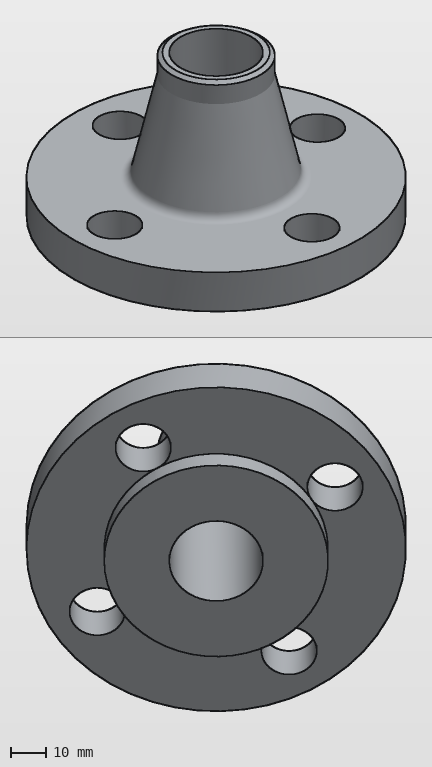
import cadquery as cq

flange_diameter = 107.9
flange_thickness = 13.0

face_diameter = 63.7
face_height = 6.4

overall_height = 60.2
hub_base_diameter = 49.3
hub_root_fillet = 3.0
neck_diameter = 33.5
neck_length = 7.2
bore_diameter = 26.7

bevel_land = 1.9
bevel_height = 1.0

bolt_hole_count = 4
bolt_hole_diameter = 15.8
bolt_circle_diameter = 79.3

flange_bottom = face_height
flange_top = flange_bottom + flange_thickness
neck_bottom = overall_height - neck_length
bevel_bottom = overall_height - bevel_height
flange_radius = flange_diameter / 2
face_radius = face_diameter / 2
hub_base_radius = hub_base_diameter / 2
neck_radius = neck_diameter / 2
bore_radius = bore_diameter / 2
land_radius = bore_radius + bevel_land


def flange_body():
    """Solid of revolution: raised face, plate, hub and neck, filleted at the hub root."""
    half_section = (
        cq.Workplane("XZ")
        .moveTo(0, 0)
        .lineTo(face_radius, 0)
        .lineTo(face_radius, flange_bottom)
        .lineTo(flange_radius, flange_bottom)
        .lineTo(flange_radius, flange_top)
        .lineTo(hub_base_radius, flange_top)
        .lineTo(neck_radius, neck_bottom)
        .lineTo(neck_radius, bevel_bottom)
        .lineTo(land_radius, overall_height)
        .lineTo(0, overall_height)
        .close()
    )
    body = half_section.revolve(360, (0, 0, 0), (0, 1, 0))
    plate_top = body.faces("|Z").faces(">Z[-2]")
    hub_root = plate_top.edges(cq.selectors.RadiusNthSelector(0))
    return hub_root.fillet(hub_root_fillet)


def bore():
    """Straight bore through the full height."""
    return cq.Workplane("XY").circle(bore_radius).extrude(overall_height)


def bolt_holes():
    """Holes through the plate, evenly spaced with the first one on +X."""
    return (
        cq.Workplane("XY", origin=(0, 0, flange_bottom))
        .polarArray(bolt_circle_diameter / 2, 0, 360, bolt_hole_count)
        .circle(bolt_hole_diameter / 2)
        .extrude(flange_thickness)
    )


result = flange_body().cut(bore()).cut(bolt_holes())